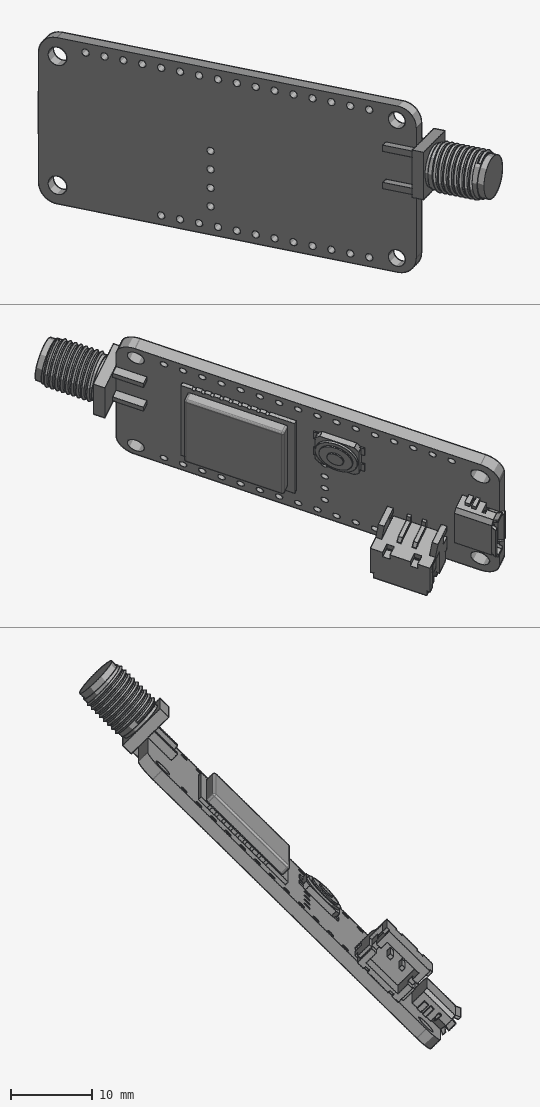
import cadquery as cq


BOARD_L = 50.8
BOARD_H = 22.85
BOARD_T = 1.65
BOARD_CORNER_R = 2.5
PIN_HOLE_D = 1.0
HEADER_X = 6.35
HEADER_EDGE = 1.3
UPPER_HOLES = 16
UPPER_ROW_L = 38.1
HOLE_PITCH = UPPER_ROW_L / (UPPER_HOLES - 1)
LOWER_HOLES = 12
MIDDLE_HOLES = 4
MIDDLE_X = 23.15
MIDDLE_Z = 3.9
LEFT_MOUNT_D = 2.5
LEFT_MOUNT_INSET = 2.55
RIGHT_MOUNT_D = 2.25
RIGHT_MOUNT_INSET_X = 2.6
RIGHT_MOUNT_INSET_Z = 1.95

COAX_Z = 14.6
FLANGE_SIZE = 6.5
FLANGE_T = 1.5
FLANGE_DROP = 1.2
COAX_Y = FLANGE_SIZE / 2 - FLANGE_DROP
COAX_L = 9.45
BARREL_D = 5.6
THREAD_D = 6.4
THREAD_CORE_D = 5.9
THREAD_BASE_W = 0.6
THREAD_START = 1.95
THREAD_END = 8.6
THREAD_TURNS = 8.6
THREAD_ROOT_SINK = 0.05
LEG_L = 4.1
LEG_W = 0.85
LEG_OFFSET = 2.55
FRONT_LEG_T = 1.0
BACK_LEG_T = 1.1

MODULE_X = 26.9
SUBSTRATE_SIZE = 15.1
SUBSTRATE_T = 0.5
MODULE_MID_X = MODULE_X + SUBSTRATE_SIZE / 2
MODULE_MID_Z = BOARD_H / 2
SHIELD_SIZE = 13.2
SHIELD_H = 1.35
SHIELD_EDGE_R = 0.3
CASTELLATION_D = 0.4
CASTELLATION_PITCH = 1.2
CASTELLATIONS = 9
CASTELLATION_X = 30.6

BUTTON_X = 21.2
BUTTON_Z = 15.65
BUTTON_SIZE = 5.8
BUTTON_H = 0.8
BUTTON_CORNER = 0.6
BUTTON_STEPS = [(5.6, 0.3), (4.45, 0.2), (2.2, 0.2)]
BUTTON_FOOT_W = 1.45
BUTTON_FOOT_T = 0.2
BUTTON_FOOT_SPAN = 6.75
BUTTON_FOOT_OFFSET = 1.7

USB_Z = 11.25
USB_L = 4.95
USB_FLARE_L = 0.7
USB_FLARE_RISE = 0.3
LONG_LIP_W = 5.7
SIDE_LIP_LOW = 0.75
SIDE_LIP_HIGH = 2.0
USB_H = 2.55
USB_HALF_W = 3.7
USB_TOP_CHAMFER = 0.55
USB_BOTTOM_CHAMFER = 0.9
USB_WALL = 0.4
USB_CAVITY_L = 1.95
TONGUE_W = 3.65
TONGUE_T = 0.6
TONGUE_Y = 1.35
TONGUE_START = 0.2
USB_CONTACTS = 5
USB_CONTACT_PITCH = 0.7
USB_CONTACT_W = 0.3
USB_CONTACT_T = 0.1
WINDOW_X = 1.3
WINDOW_L = 0.4
WINDOW_BOTTOM = 0.25
WINDOW_TOP = 1.45
USB_LEGS = [(2.55, 0.55, 1.4), (3.4, 0.7, 1.3)]
USB_LEG_SPAN = 8.5

SOCKET_X = 6.95
SOCKET_W = 7.9
SOCKET_H = 5.55
SOCKET_BOTTOM = -0.75
SOCKET_BACK = 5.4
SOCKET_MID_X = SOCKET_X + SOCKET_W / 2
CHEEK_W = 0.8
CHEEK_TOP = 7.05
CHEEK_HIGH = 3.8
CHEEK_LOW = 2.9
SIDE_INSET = 0.4
LIP_TOP = 0.25
GROOVE_LOW = 2.5
GROOVE_HIGH = 4.75
GROOVE_TOP = 4.9
RECESS_LOW = 3.5
RECESS_BOTTOM = 2.1
RECESS_DEPTH = 0.6
KEY_HIGH = 3.3
KEY_TOP = 1.35
FOOT_RELIEF_H = 0.5
FOOT_RELIEF_TOP = 2.25
TAB_SLOT_H = 1.1
TAB_SLOT_BOTTOM = 4.75
TAB_SLOT_TOP = 6.15
CAVITY_SIDE = 1.2
CAVITY_LOW = 0.75
CAVITY_HIGH = 4.4
REAR_WALL = 0.9
REAR_SLOT_W = 1.0
REAR_SLOT_OFFSET = 1.8
REAR_SLOT_LOW = 4.2
FLOOR_SLOT_W = 0.7
FLOOR_SLOT_OFFSET = 2.15
FLOOR_SLOT_H = 0.35

CONTACT_PITCH = 2.0
CONTACT_W = 0.55
CONTACT_T = 0.55
CONTACT_HIGH = 3.5
CONTACT_TIP = 0.6
CONTACT_BACK = 6.0
CONTACT_FOOT_END = 6.9
CONTACT_FOOT_T = 0.35
CONTACT_BEVEL = 0.5


def block(x0, x1, y0, y1, z0, z1):
    """Box between two corners."""
    return cq.Workplane("XY").box(x1 - x0, y1 - y0, z1 - z0, centered=False).translate((x0, y0, z0))


def on_board(x0, x1, low, high, z0, z1):
    """Box with its Y range given as heights above the back face of the board."""
    return block(x0, x1, BOARD_T + low, BOARD_T + high, z0, z1)


def back_plane(x, height, z):
    """XZ workplane at a height above the back face of the board; extrude negatively to go up."""
    return cq.Workplane("XZ", origin=(x, BOARD_T + height, z))


def hole_cutter(points, diameter):
    """Drills through the board at (x, z) points."""
    return cq.Workplane("XZ").pushPoints(points).circle(diameter / 2).extrude(-BOARD_T)


def make_board():
    board = block(0, BOARD_L, 0, BOARD_T, 0, BOARD_H).edges("|Y").fillet(BOARD_CORNER_R)
    lower_x = HEADER_X + (UPPER_HOLES - LOWER_HOLES) * HOLE_PITCH
    pin_points = [(HEADER_X + i * HOLE_PITCH, BOARD_H - HEADER_EDGE) for i in range(UPPER_HOLES)]
    pin_points += [(lower_x + i * HOLE_PITCH, HEADER_EDGE) for i in range(LOWER_HOLES)]
    pin_points += [(MIDDLE_X, MIDDLE_Z + i * HOLE_PITCH) for i in range(MIDDLE_HOLES)]
    left_points = [(LEFT_MOUNT_INSET, z) for z in (LEFT_MOUNT_INSET, BOARD_H - LEFT_MOUNT_INSET)]
    right_x = BOARD_L - RIGHT_MOUNT_INSET_X
    right_points = [(right_x, z) for z in (RIGHT_MOUNT_INSET_Z, BOARD_H - RIGHT_MOUNT_INSET_Z)]
    board = board.cut(hole_cutter(pin_points, PIN_HOLE_D))
    board = board.cut(hole_cutter(left_points, LEFT_MOUNT_D))
    return board.cut(hole_cutter(right_points, RIGHT_MOUNT_D))


def make_thread():
    """Helical V ridge around the threaded part of the barrel."""
    root_r = THREAD_CORE_D / 2 - THREAD_ROOT_SINK
    crest_r = THREAD_D / 2
    half_base = THREAD_BASE_W / 2
    length = THREAD_END - THREAD_START - 2 * half_base
    path = cq.Wire.makeHelix(length / THREAD_TURNS, length, root_r)
    ridge = (
        cq.Workplane("XZ")
        .polyline([(root_r, -half_base), (crest_r, 0), (root_r, half_base)])
        .close()
        .sweep(cq.Workplane(path), isFrenet=True)
    )
    ridge = ridge.rotate((0, 0, 0), (0, 1, 0), 90)
    return ridge.translate((BOARD_L + THREAD_START + half_base, COAX_Y, COAX_Z))


def make_coax_connector():
    half = FLANGE_SIZE / 2
    flange = block(
        BOARD_L, BOARD_L + FLANGE_T, COAX_Y - half, COAX_Y + half, COAX_Z - half, COAX_Z + half
    )
    barrel = (
        cq.Workplane("YZ", origin=(BOARD_L + FLANGE_T, COAX_Y, COAX_Z))
        .circle(BARREL_D / 2)
        .extrude(COAX_L - FLANGE_T)
    )
    core = (
        cq.Workplane("YZ", origin=(BOARD_L + THREAD_START, COAX_Y, COAX_Z))
        .circle(THREAD_CORE_D / 2)
        .extrude(THREAD_END - THREAD_START)
    )
    connector = flange.union(barrel).union(core).union(make_thread())
    for side in (-1, 1):
        z0 = COAX_Z + side * LEG_OFFSET - LEG_W / 2
        front_leg = block(BOARD_L - LEG_L, BOARD_L, -FRONT_LEG_T, 0, z0, z0 + LEG_W)
        back_leg = on_board(BOARD_L - LEG_L, BOARD_L, 0, BACK_LEG_T, z0, z0 + LEG_W)
        connector = connector.union(front_leg).union(back_leg)
    return connector


def make_substrate():
    substrate = back_plane(MODULE_MID_X, 0, MODULE_MID_Z).rect(SUBSTRATE_SIZE, SUBSTRATE_SIZE)
    substrate = substrate.extrude(-SUBSTRATE_T)
    first = CASTELLATION_X - MODULE_MID_X
    half = SUBSTRATE_SIZE / 2
    points = [(first + i * CASTELLATION_PITCH, z) for i in range(CASTELLATIONS) for z in (-half, half)]
    notches = back_plane(MODULE_MID_X, 0, MODULE_MID_Z).pushPoints(points)
    return substrate.cut(notches.circle(CASTELLATION_D / 2).extrude(-SUBSTRATE_T))


def make_shield():
    shield = back_plane(MODULE_MID_X, SUBSTRATE_T, MODULE_MID_Z).rect(SHIELD_SIZE, SHIELD_SIZE)
    shield = shield.extrude(-SHIELD_H)
    return shield.edges("|Y or >Y").fillet(SHIELD_EDGE_R)


def make_button():
    button = back_plane(BUTTON_X, 0, BUTTON_Z).rect(BUTTON_SIZE, BUTTON_SIZE).extrude(-BUTTON_H)
    button = button.edges("|Y").chamfer(BUTTON_CORNER)
    height = BUTTON_H
    for diameter, step in BUTTON_STEPS:
        disc = back_plane(BUTTON_X, height, BUTTON_Z).circle(diameter / 2).extrude(-step)
        button = button.union(disc)
        height += step
    for side in (-1, 1):
        z = BUTTON_Z + side * BUTTON_FOOT_OFFSET
        feet = back_plane(BUTTON_X, 0, z).rect(BUTTON_FOOT_SPAN, BUTTON_FOOT_W)
        button = button.union(feet.extrude(-BUTTON_FOOT_T))
    return button


def usb_outline(x, growth):
    """Outline of the USB shell at x, grown outward by growth."""
    outline = [
        (0, USB_HALF_W - USB_BOTTOM_CHAMFER),
        (USB_BOTTOM_CHAMFER, USB_HALF_W),
        (USB_H - USB_TOP_CHAMFER, USB_HALF_W),
        (USB_H, USB_HALF_W - USB_TOP_CHAMFER),
    ]
    outline += [(y, -z) for y, z in reversed(outline)]
    wire = cq.Workplane("YZ", origin=(x, BOARD_T, USB_Z)).polyline(outline).close()
    if growth:
        wire = wire.offset2D(growth, "intersection")
    return wire.val()


def usb_prism(x0, growth0, x1, growth1):
    """Solid between the shell outlines at two X positions."""
    ends = [usb_outline(x0, growth0), usb_outline(x1, growth1)]
    return cq.Workplane(cq.Solid.makeLoft(ends, True))


def usb_block(x, length, low, high, width):
    """Box centred on the middle plane of the USB socket."""
    return on_board(x, x + length, low, high, USB_Z - width / 2, USB_Z + width / 2)


def make_flare():
    """Flared lips around the mouth, parted at the corners."""
    flare = usb_prism(-USB_FLARE_L, USB_FLARE_RISE, 0, 0)
    lip_low = -USB_FLARE_RISE
    lip_high = USB_H + USB_FLARE_RISE
    side_w = 2 * (USB_HALF_W + USB_FLARE_RISE)
    long_lips = usb_block(-USB_FLARE_L, USB_FLARE_L, lip_low, lip_high, LONG_LIP_W)
    side_lips = usb_block(-USB_FLARE_L, USB_FLARE_L, SIDE_LIP_LOW, SIDE_LIP_HIGH, side_w)
    return flare.intersect(long_lips.union(side_lips))


def make_usb_socket():
    mouth_growth = USB_FLARE_RISE - USB_WALL
    side_walls_x = WINDOW_X + WINDOW_L
    socket = usb_prism(0, 0, USB_L, 0).union(make_flare())

    socket = socket.union(
        usb_block(side_walls_x, USB_L - side_walls_x, 0, USB_BOTTOM_CHAMFER, 2 * USB_HALF_W)
    )
    for x, length, height in USB_LEGS:
        socket = socket.union(usb_block(x, length, 0, height, USB_LEG_SPAN))

    socket = socket.cut(usb_prism(0, -USB_WALL, USB_CAVITY_L, -USB_WALL))
    socket = socket.cut(usb_prism(-USB_FLARE_L, mouth_growth, 0, -USB_WALL))

    socket = socket.cut(usb_block(WINDOW_X, WINDOW_L, WINDOW_BOTTOM, WINDOW_TOP, 2 * USB_HALF_W))

    tongue_l = USB_CAVITY_L - TONGUE_START
    socket = socket.union(
        usb_block(TONGUE_START, tongue_l, TONGUE_Y, TONGUE_Y + TONGUE_T, TONGUE_W)
    )
    contact = usb_block(TONGUE_START, tongue_l, TONGUE_Y - USB_CONTACT_T, TONGUE_Y, USB_CONTACT_W)
    for i in range(USB_CONTACTS):
        offset = (i - (USB_CONTACTS - 1) / 2) * USB_CONTACT_PITCH
        socket = socket.union(contact.translate((0, 0, offset)))
    return socket


def make_cheek(x0):
    """Side cheek behind the rear wall, with a sloped top."""
    profile = [
        (0, SOCKET_BACK),
        (CHEEK_HIGH, SOCKET_BACK),
        (CHEEK_LOW, CHEEK_TOP),
        (0, CHEEK_TOP),
    ]
    return cq.Workplane("YZ", origin=(x0, BOARD_T, 0)).polyline(profile).close().extrude(CHEEK_W)


def make_battery_socket(contacts):
    right = SOCKET_X + SOCKET_W
    socket = on_board(SOCKET_X, right, 0, SOCKET_H, SOCKET_BOTTOM, SOCKET_BACK)
    socket = socket.union(make_cheek(SOCKET_X)).union(make_cheek(right - CHEEK_W))

    cavity_top = SOCKET_BACK - REAR_WALL
    cavity_x = SOCKET_X + CAVITY_SIDE
    cavity_end = right - CAVITY_SIDE
    socket = socket.cut(
        on_board(cavity_x, cavity_end, CAVITY_LOW, CAVITY_HIGH, SOCKET_BOTTOM, cavity_top)
    )

    for x0 in (SOCKET_X, right - SIDE_INSET):
        x1 = x0 + SIDE_INSET
        socket = socket.cut(on_board(x0, x1, 0, SOCKET_H, SOCKET_BOTTOM, LIP_TOP))
        socket = socket.cut(on_board(x0, x1, GROOVE_LOW, GROOVE_HIGH, LIP_TOP, GROOVE_TOP))
        socket = socket.cut(on_board(x0, x1, 0, FOOT_RELIEF_H, LIP_TOP, FOOT_RELIEF_TOP))

    for x0 in (SOCKET_X, right - RECESS_DEPTH):
        x1 = x0 + RECESS_DEPTH
        socket = socket.cut(on_board(x0, x1, RECESS_LOW, GROOVE_HIGH, RECESS_BOTTOM, GROOVE_TOP))
    for x0 in (SOCKET_X, right - CHEEK_W):
        socket = socket.cut(on_board(x0, x0 + CHEEK_W, 0, TAB_SLOT_H, TAB_SLOT_BOTTOM, TAB_SLOT_TOP))
    socket = socket.cut(on_board(SOCKET_X, right, GROOVE_LOW, KEY_HIGH, SOCKET_BOTTOM, KEY_TOP))

    for side in (-1, 1):
        rear_x = SOCKET_MID_X + side * REAR_SLOT_OFFSET - REAR_SLOT_W / 2
        floor_x = SOCKET_MID_X + side * FLOOR_SLOT_OFFSET - FLOOR_SLOT_W / 2
        socket = socket.cut(
            on_board(rear_x, rear_x + REAR_SLOT_W, REAR_SLOT_LOW, SOCKET_H, cavity_top, SOCKET_BACK)
        )
        socket = socket.cut(
            on_board(floor_x, floor_x + FLOOR_SLOT_W, 0, FLOOR_SLOT_H, SOCKET_BOTTOM, LIP_TOP)
        )

    for contact in contacts:
        socket = socket.cut(contact)
    return socket


def make_contact(x):
    """Bent contact: a pin through the rear wall, a drop to the board and a foot."""
    pin_low = CONTACT_HIGH - CONTACT_T
    drop_z = CONTACT_BACK - CONTACT_T
    profile = [
        (CONTACT_HIGH, CONTACT_TIP),
        (CONTACT_HIGH, CONTACT_BACK - CONTACT_BEVEL),
        (CONTACT_HIGH - CONTACT_BEVEL, CONTACT_BACK),
        (CONTACT_FOOT_T, CONTACT_BACK),
        (CONTACT_FOOT_T, CONTACT_FOOT_END),
        (0, CONTACT_FOOT_END),
        (0, drop_z),
        (pin_low, drop_z),
        (pin_low, CONTACT_TIP),
    ]
    plane = cq.Workplane("YZ", origin=(x - CONTACT_W / 2, BOARD_T, 0))
    return plane.polyline(profile).close().extrude(CONTACT_W)


board = make_board()
coax_connector = make_coax_connector()
substrate = make_substrate()
shield = make_shield()
button = make_button()
usb_socket = make_usb_socket()
contacts = [make_contact(SOCKET_MID_X + side * CONTACT_PITCH / 2) for side in (-1, 1)]
battery_socket = make_battery_socket(contacts)

result = cq.Compound.makeCompound(
    [
        board.val(),
        coax_connector.val(),
        substrate.val(),
        shield.val(),
        button.val(),
        usb_socket.val(),
        battery_socket.val(),
        *[contact.val() for contact in contacts],
    ]
)